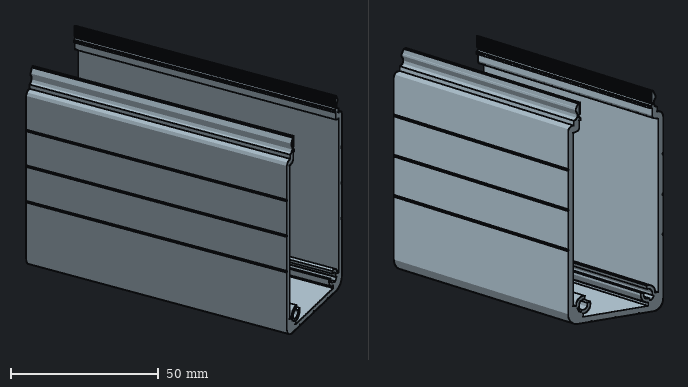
import cadquery as cq
import math

LENGTH = 100.0
WIDTH = 40.0
HEIGHT = 77.0
HALF_WIDTH = WIDTH / 2

WALL = 2.2
WALL_INNER_Y = HALF_WIDTH - WALL
BOTTOM_RADIUS = 4.0
SHOULDER_RADIUS = 2.0
SHOULDER_Z = 69.3

SCREW_INSET = 6.4
SCREW_Y = HALF_WIDTH - SCREW_INSET
SCREW_Z = SCREW_INSET
SCREW_OUTER_RADIUS = 3.05
SCREW_BORE_RADIUS = 1.75
SCREW_OPENING_ANGLE = 62.0
RELIEF_RADIUS = 2.6
RELIEF_ANGLE = 46.0
OPENING_DIRECTION = 135.0
RELIEF_DIRECTION = OPENING_DIRECTION + 180.0

LIP_FOOT_Z = 66.8
LIP_INNER_Y = 15.3
LIP_ROUND_TOP_Z = 68.4
LIP_ROUND_MID_Y = 15.5
LIP_ROUND_MID_Z = 67.65
LIP_ROUND_END_Y = 16.0
LIP_ROUND_END_Z = 67.2
HOOK_Y = 14.6
HOOK_BOTTOM_Z = 70.8
HOOK_TOP_Z = 71.5
HOOK_SLOPE_Y = 15.0
HOOK_SLOPE_Z = 71.6
NECK_INNER_Y = 15.4
NECK_TOP_Z = 72.7
NECK_BOTTOM_Z = 72.25
TOOTH_TIP_Y = 14.95
TOOTH_DEPTH = 0.22
TOOTH_COUNT = 8
TOOTH_PITCH = 0.48
TOP_OUTER_Y = 15.8
TOP_OUTER_Z = 76.75
BULB_TOP_Y = 16.55
BULB_TOP_Z = 75.35
BULB_SIDE_Y = 16.8
BULB_SIDE_Z = 74.7
NECK_ARC_Y = 17.83
NECK_ARC_Z = 72.7
NECK_ARC_RADIUS = 1.77
NECK_ARC_TOP_Z = 74.0
STEP_Y = 17.5

GROOVE_WIDTH = 0.7
GROOVE_DEPTH = 0.25
WALL_GROOVE_PITCH = 14.0
LOWEST_WALL_GROOVE_Z = 26.2
WALL_GROOVE_COUNT = 3
FLOOR_GROOVES_Y = (0.0, 10.0)


def section():
    """Sketch plane of the cross-section: local x is Y and local y is Z."""
    return cq.Workplane("YZ", origin=(-LENGTH / 2, 0, 0))


def polar(radius, degrees):
    """Point at a distance and direction from the screw channel's centre."""
    angle = math.radians(degrees)
    return (SCREW_Y + radius * math.cos(angle), SCREW_Z + radius * math.sin(angle))


def neck_arc_y(z):
    """Y of the concave outer side of the lip's neck at a height."""
    return NECK_ARC_Y - math.sqrt(NECK_ARC_RADIUS**2 - (z - NECK_ARC_Z) ** 2)


def half_body():
    """Half floor, one wall with its solid bottom corner, and the snap lip."""
    step_z = NECK_ARC_Z - math.sqrt(NECK_ARC_RADIUS**2 - (NECK_ARC_Y - STEP_Y) ** 2)
    outline = (
        section()
        .moveTo(0, 0)
        .lineTo(HALF_WIDTH - BOTTOM_RADIUS, 0)
        .radiusArc((HALF_WIDTH, BOTTOM_RADIUS), -BOTTOM_RADIUS)
        .lineTo(HALF_WIDTH, SHOULDER_Z - SHOULDER_RADIUS)
        .radiusArc((HALF_WIDTH - SHOULDER_RADIUS, SHOULDER_Z), -SHOULDER_RADIUS)
        .lineTo(STEP_Y, SHOULDER_Z)
        .lineTo(STEP_Y, step_z)
        .threePointArc(
            (NECK_ARC_Y - NECK_ARC_RADIUS, NECK_ARC_Z),
            (neck_arc_y(NECK_ARC_TOP_Z), NECK_ARC_TOP_Z),
        )
        .threePointArc((BULB_SIDE_Y, BULB_SIDE_Z), (BULB_TOP_Y, BULB_TOP_Z))
        .lineTo(TOP_OUTER_Y, TOP_OUTER_Z)
        .lineTo(TOOTH_TIP_Y, HEIGHT)
    )
    for tooth in range(TOOTH_COUNT):
        tip_z = HEIGHT - tooth * TOOTH_PITCH
        outline = outline.lineTo(TOOTH_TIP_Y + TOOTH_DEPTH, tip_z - TOOTH_PITCH / 2)
        outline = outline.lineTo(TOOTH_TIP_Y, tip_z - TOOTH_PITCH)
    return (
        outline.lineTo(NECK_INNER_Y, NECK_TOP_Z)
        .lineTo(NECK_INNER_Y, NECK_BOTTOM_Z)
        .lineTo(HOOK_SLOPE_Y, HOOK_SLOPE_Z)
        .lineTo(HOOK_Y, HOOK_TOP_Z)
        .lineTo(HOOK_Y, HOOK_BOTTOM_Z)
        .lineTo(LIP_INNER_Y, HOOK_BOTTOM_Z)
        .lineTo(LIP_INNER_Y, LIP_ROUND_TOP_Z)
        .threePointArc(
            (LIP_ROUND_MID_Y, LIP_ROUND_MID_Z),
            (LIP_ROUND_END_Y, LIP_ROUND_END_Z),
        )
        .lineTo(WALL_INNER_Y, LIP_FOOT_Z)
        .lineTo(WALL_INNER_Y, SCREW_Z)
        .lineTo(SCREW_Y, SCREW_Z)
        .lineTo(SCREW_Y, WALL)
        .lineTo(0, WALL)
        .close()
        .extrude(LENGTH)
    )


def screw_cylinder(radius):
    return section().center(SCREW_Y, SCREW_Z).circle(radius).extrude(LENGTH)


def screw_sector(radius, direction, spread):
    """Pie-shaped bar about the screw channel's axis."""
    return (
        section()
        .moveTo(SCREW_Y, SCREW_Z)
        .lineTo(*polar(radius, direction - spread / 2))
        .threePointArc(polar(radius, direction), polar(radius, direction + spread / 2))
        .close()
        .extrude(LENGTH)
    )


def add_screw_channel(body):
    opening_radius = SCREW_OUTER_RADIUS + WALL
    return (
        body.union(screw_cylinder(SCREW_OUTER_RADIUS))
        .cut(screw_cylinder(SCREW_BORE_RADIUS))
        .cut(screw_sector(opening_radius, OPENING_DIRECTION, SCREW_OPENING_ANGLE))
        .cut(screw_sector(RELIEF_RADIUS, RELIEF_DIRECTION, RELIEF_ANGLE))
    )


def groove(y, z, inward_angle):
    """Diamond-section bar whose inner half sinks a V groove at a point of the outside face."""
    return (
        section()
        .center(y, z)
        .transformed(rotate=(0, 0, inward_angle))
        .moveTo(GROOVE_DEPTH, 0)
        .lineTo(0, GROOVE_WIDTH / 2)
        .lineTo(-GROOVE_DEPTH, 0)
        .lineTo(0, -GROOVE_WIDTH / 2)
        .close()
        .extrude(LENGTH)
    )


def cut_grooves(body):
    for index in range(WALL_GROOVE_COUNT):
        z = LOWEST_WALL_GROOVE_Z + index * WALL_GROOVE_PITCH
        body = body.cut(groove(HALF_WIDTH, z, 180))
    for y in FLOOR_GROOVES_Y:
        body = body.cut(groove(y, 0, 90))
    return body


half = cut_grooves(add_screw_channel(half_body()))
result = half.union(half.mirror("XZ")).clean()